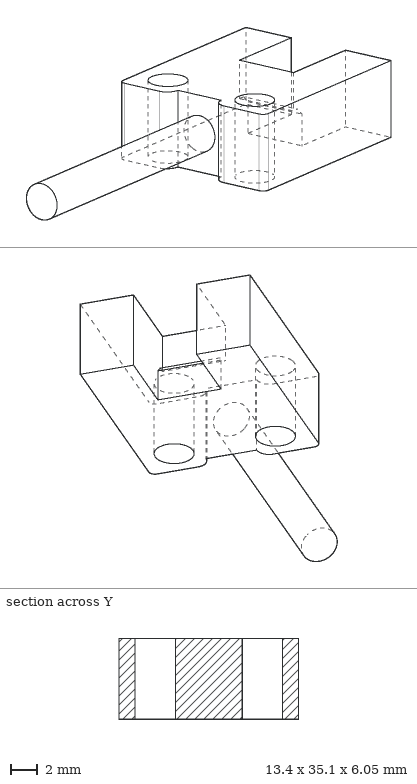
import cadquery as cq

BODY_WIDTH = 13.4
BODY_LENGTH = 16.08
BODY_HEIGHT = 6.05
CORNER_RADIUS = 0.5

SLOT_WIDTH = 5.0
SLOT_DEPTH = 6.6

LEDGE_REACH = 1.05
LEDGE_HEIGHT = BODY_HEIGHT / 2
LEDGE_CHAMFER = LEDGE_REACH / 2

RECESS_WIDTH = 4.0
RECESS_DEPTH = 1.0

HOLE_DIAMETER = 3.0
HOLE_SPACING = 8.0
HOLE_INSET = 2.5

TOTAL_LENGTH = 35.1
CABLE_DIAMETER = 2.85
CABLE_LENGTH = TOTAL_LENGTH - BODY_LENGTH + RECESS_DEPTH


def make_body():
    """Block with its rear face on y = 0, its underside on z = 0 and rounded rear corners."""
    block = cq.Workplane("XY").box(BODY_WIDTH, BODY_LENGTH, BODY_HEIGHT, centered=(True, False, False))
    return block.edges("|Z and <Y").fillet(CORNER_RADIUS)


def make_slot():
    """Cutter for the sensing slot, through the full height."""
    return (
        cq.Workplane("XY")
        .box(SLOT_WIDTH, SLOT_DEPTH, BODY_HEIGHT, centered=(True, False, False))
        .translate((0, BODY_LENGTH - SLOT_DEPTH, 0))
    )


def make_ledge():
    """Chamfered ledge that spans the slot between the arms, below the top face."""
    ledge = (
        cq.Workplane("XY")
        .box(SLOT_WIDTH, LEDGE_REACH, LEDGE_HEIGHT, centered=(True, False, False))
        .translate((0, BODY_LENGTH - SLOT_DEPTH, 0))
    )
    return ledge.edges(">Y and >Z").chamfer(LEDGE_CHAMFER)


def make_recess():
    """Cutter for the cable recess, whose mouth flares out in two quarter rounds."""
    half_width = RECESS_WIDTH / 2
    radius = RECESS_DEPTH
    diagonal = radius * (1 - 0.5**0.5)
    half_mouth = half_width + radius
    return (
        cq.Workplane("XY")
        .moveTo(-half_mouth, 0)
        .threePointArc((-half_width - diagonal, diagonal), (-half_width, RECESS_DEPTH))
        .lineTo(half_width, RECESS_DEPTH)
        .threePointArc((half_width + diagonal, diagonal), (half_mouth, 0))
        .close()
        .extrude(BODY_HEIGHT)
    )


def make_holes():
    """Cutters for the two mounting holes, through the full height."""
    return (
        cq.Workplane("XY")
        .pushPoints([(side * HOLE_SPACING / 2, HOLE_INSET) for side in (-1, 1)])
        .circle(HOLE_DIAMETER / 2)
        .extrude(BODY_HEIGHT)
    )


def make_cable():
    """Round cable running from the recess floor towards -Y at mid height."""
    return (
        cq.Workplane("XZ", origin=(0, RECESS_DEPTH, BODY_HEIGHT / 2))
        .circle(CABLE_DIAMETER / 2)
        .extrude(CABLE_LENGTH)
    )


body = make_body().cut(make_slot()).union(make_ledge())
body = body.cut(make_recess()).cut(make_holes())
result = body.union(make_cable())